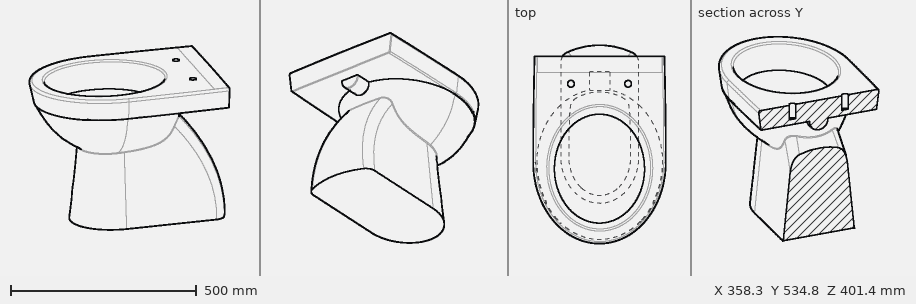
import cadquery as cq


rim_top = 400.0
rim_bottom = 340.0
rim_half_width = 180.0
rim_back_half_width = 176.0
rim_tip_y = -1.5
rim_nose_y = 112.5
rim_widest_y = 219.5
rim_back_y = 505.0
rim_draft = 7.5
rim_tip_draft = 14.0
rim_top_round = 6.5
rim_bottom_round = 4.5
rim_back_round = 2.0

crown_start_y = 462.0
crown_rise = 1.5
crown_side_inset = 8.0

bowl_sections = [
    (340.0, 169.5, 12.5, 417.5),
    (315.0, 160.0, 26.0, 414.0),
    (285.5, 148.5, 45.0, 410.0),
    (258.0, 130.5, 67.5, 407.5),
    (237.5, 112.5, 90.0, 406.5),
    (217.0, 87.0, 120.0, 401.0),
    (204.0, 70.5, 140.0, 380.0),
]

basin_center_y = 205.5
basin_half_width = 138.0
basin_half_length = 166.0
basin_floor_center_y = 202.0
basin_floor_half_width = 121.5
basin_floor_half_length = 146.5
basin_floor_z = 323.5
basin_lip_round = 6.0

pedestal_top = 299.5
pedestal_levels = 5
pedestal_half_width = 105.0
pedestal_top_half_width = 74.5
pedestal_front_y = 109.5
pedestal_top_front_y = 140.0
pedestal_side_start_y = 235.0
pedestal_back_y = 535.0
pedestal_top_back_y = 394.0
pedestal_back_bulge = 29.0
pedestal_top_back_bulge = 10.5
pedestal_corner_round = 29.5
pedestal_bowl_blend = 4.0

inlet_radius = 27.5
inlet_z = 338.0
inlet_end_y = 464.5
inlet_start_y = 374.5
inlet_edge_round = 2.0
seat_hole_diameter = 18.0
seat_hole_x = 77.0
seat_hole_y = 430.5
seat_hole_depth = 43.0


def ellipse_arc(half_width, half_length, center_y, z, start=0, end=360):
    """Arc of an ellipse in a horizontal plane, centred on the symmetry plane."""
    return cq.Edge.makeEllipse(
        half_width,
        half_length,
        cq.Vector(0, center_y, z),
        cq.Vector(0, 0, 1),
        cq.Vector(1, 0, 0),
        start,
        end,
    )


def arc(start, middle, end, z):
    """Three-point arc in a horizontal plane."""
    return cq.Edge.makeThreePointArc(*(cq.Vector(x, y, z) for x, y in (start, middle, end)))


def line(start, end, z):
    """Straight edge in a horizontal plane."""
    return cq.Edge.makeLine(cq.Vector(*start, z), cq.Vector(*end, z))


def loft(wires, ruled=False):
    """Solid through the given outlines, straight between them if ruled."""
    return cq.Workplane(cq.Solid.makeLoft(wires, ruled))


def rim_outline(z, inset, tip_y):
    """Half-elliptic front, slightly bowed sides and a straight back."""
    half_width = rim_half_width - inset
    back_half_width = rim_back_half_width - inset
    middle_y = (rim_widest_y + rim_back_y) / 2
    middle_half_width = half_width - (half_width - back_half_width) / 4
    return cq.Wire.assembleEdges([
        ellipse_arc(half_width, rim_widest_y - tip_y, rim_widest_y, z, 180, 360),
        arc((half_width, rim_widest_y), (middle_half_width, middle_y), (back_half_width, rim_back_y), z),
        line((back_half_width, rim_back_y), (-back_half_width, rim_back_y), z),
        arc((-back_half_width, rim_back_y), (-middle_half_width, middle_y), (-half_width, rim_widest_y), z),
    ])


def make_rim():
    """Drafted slab with rounded edges and a sharp lower edge at the nose."""
    lower = rim_outline(rim_bottom, rim_draft, rim_tip_y + rim_tip_draft)
    upper = rim_outline(rim_top, 0, rim_tip_y)
    rim = loft([lower, upper], ruled=True)
    rim = rim.faces(">Z").edges("not >Y").fillet(rim_top_round)
    nose_space = cq.Workplane().box(4 * rim_half_width, 2 * rim_nose_y, 4 * rim_top)
    nose = rim.intersect(nose_space)
    rim = rim.faces("<Z").edges("not >Y").fillet(rim_bottom_round)
    rim = rim.union(make_crown())
    rim = rim.faces(">Y").edges().fillet(rim_back_round)
    return rim.cut(nose_space).union(nose, clean=False)


def make_crown():
    """Wedge on the back of the rim, highest at the middle of its back edge."""
    half_width = rim_back_half_width - crown_side_inset
    base = rim_top - rim_top_round

    def section(y, rise):
        upper = cq.Workplane("XZ", origin=(0, y, 0)).moveTo(half_width, base)
        upper = upper.lineTo(half_width, rim_top)
        if rise:
            upper = upper.threePointArc((0, rim_top + rise), (-half_width, rim_top))
        else:
            upper = upper.lineTo(-half_width, rim_top)
        return upper.lineTo(-half_width, base).close().val()

    return loft([section(crown_start_y, 0), section(rim_back_y, crown_rise)], ruled=True)


def bowl_outline(z, half_width, front_y, back_y):
    """Two half ellipses that meet where the bowl is widest."""
    return cq.Wire.assembleEdges([
        ellipse_arc(half_width, rim_widest_y - front_y, rim_widest_y, z, 180, 360),
        ellipse_arc(half_width, back_y - rim_widest_y, rim_widest_y, z, 0, 180),
    ])


def make_bowl():
    """Loft through the horizontal bowl sections."""
    return loft([bowl_outline(*section) for section in bowl_sections])


def pedestal_outline(level):
    """Half-elliptic front, straight sides and a bulging back; level runs from 0 to 1."""

    def between(bottom, top):
        return bottom + (top - bottom) * level

    z = pedestal_top * level
    half_width = between(pedestal_half_width, pedestal_top_half_width)
    front_y = between(pedestal_front_y, pedestal_top_front_y)
    lean = level**2
    back_y = pedestal_back_y - (pedestal_back_y - pedestal_top_back_y) * lean
    corner_y = back_y - between(pedestal_back_bulge, pedestal_top_back_bulge)
    front_length = pedestal_side_start_y - front_y
    return cq.Wire.assembleEdges([
        ellipse_arc(half_width, front_length, pedestal_side_start_y, z, 180, 360),
        line((half_width, pedestal_side_start_y), (half_width, corner_y), z),
        arc((half_width, corner_y), (0, back_y), (-half_width, corner_y), z),
        line((-half_width, corner_y), (-half_width, pedestal_side_start_y), z),
    ])


def make_pedestal():
    """Foot that narrows upwards and ends inside the bowl."""
    steps = pedestal_levels - 1
    pedestal = loft([pedestal_outline(step / steps) for step in range(pedestal_levels)])
    back_corners = cq.selectors.BoxSelector(
        (-pedestal_half_width, pedestal_top_back_y, pedestal_top / 4),
        (pedestal_half_width, pedestal_back_y, pedestal_top * 3 / 4),
    )
    return pedestal.edges(back_corners).fillet(pedestal_corner_round)


def make_bowl_on_pedestal():
    """Bowl and pedestal joined with a small blend along their seam."""
    body = make_bowl().union(make_pedestal())
    bowl_bottom = bowl_sections[-1][0]
    seam = cq.selectors.BoxSelector(
        (-pedestal_half_width, 0, bowl_bottom),
        (pedestal_half_width, pedestal_back_y, pedestal_top),
    )
    return body.edges(seam).fillet(pedestal_bowl_blend)


def round_basin_lip(body):
    """Round the mouth of the basin, an ellipse centred on the top of the rim."""
    margin = 0.5
    mouth = cq.selectors.BoxSelector(
        (-margin, basin_center_y - margin, rim_top - margin),
        (margin, basin_center_y + margin, rim_top + margin),
    )
    return body.edges(mouth).fillet(basin_lip_round)


def make_basin():
    """Tapered elliptic cavity."""
    mouth = ellipse_arc(basin_half_width, basin_half_length, basin_center_y, rim_top)
    floor = ellipse_arc(
        basin_floor_half_width, basin_floor_half_length, basin_floor_center_y, basin_floor_z
    )
    return loft([cq.Wire.assembleEdges([floor]), cq.Wire.assembleEdges([mouth])], ruled=True)


def make_inlet():
    """Horizontal water inlet half sunk into the underside of the rim."""
    spigot = (
        cq.Workplane("XZ", origin=(0, inlet_end_y, inlet_z))
        .circle(inlet_radius)
        .extrude(inlet_end_y - inlet_start_y)
    )
    return spigot.faces(">Y").edges().fillet(inlet_edge_round)


def make_seat_holes():
    """Blind holes for the seat bolts, one on each side."""
    return (
        cq.Workplane(origin=(0, seat_hole_y, rim_top))
        .pushPoints([(-seat_hole_x, 0), (seat_hole_x, 0)])
        .circle(seat_hole_diameter / 2)
        .extrude(-seat_hole_depth)
    )


body = make_rim().union(make_bowl_on_pedestal()).union(make_inlet())
body = round_basin_lip(body.cut(make_basin()))
result = body.cut(make_seat_holes())